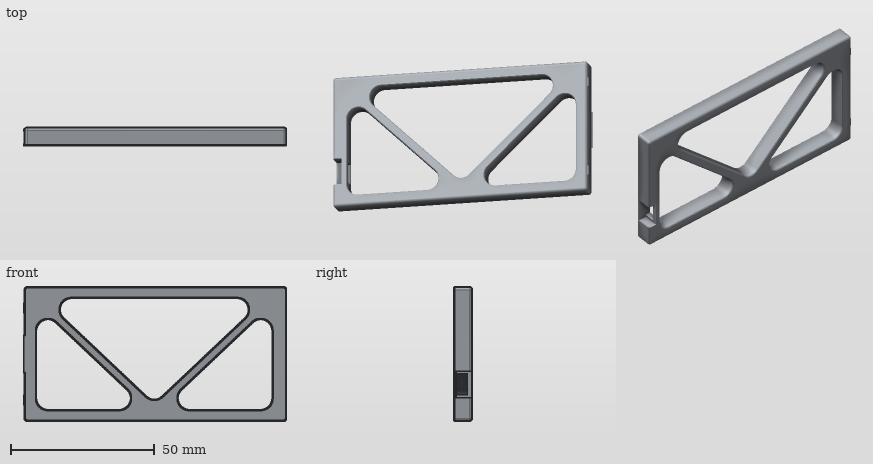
import cadquery as cq
import math

NUB_PROJECTION = 0.3
FRAME_WIDTH = 91.6 - NUB_PROJECTION
FRAME_THICKNESS = 6.4
FRAME_HEIGHT = 46.8
OUTER_RADIUS = 1.0
FRONT_CHAMFER = 0.3

LEFT_WALL = 4.2
RIGHT_WALL = 5.0
RAIL_WALL = 4.0
STRUT_WIDTH = 3.0
OPENING_RADIUS = 4.0
OPENING_CHAMFER = 0.3

NUB_LENGTH = 3.2
NUB_SPACING = 32.0
TAB_LENGTH = 13.0
TAB_THICKNESS = 0.5

WINDOW_HEIGHT = 7.3
WINDOW_CENTRE_Z = -10.6
WINDOW_FRONT_LAND = 0.8
WINDOW_DEPTH_Y = 3.9
WINDOW_LENGTH_X = 1.95
NOTCH_STEP = 1.0

LEFT = -FRAME_WIDTH / 2
RIGHT = FRAME_WIDTH / 2
FRONT = -FRAME_THICKNESS / 2
BACK = FRAME_THICKNESS / 2
OPENINGS_LEFT = LEFT + LEFT_WALL
OPENINGS_RIGHT = RIGHT - RIGHT_WALL
INNER_Z = FRAME_HEIGHT / 2 - RAIL_WALL


def box_between(x_range, y_range, z_range):
    """Box spanning the given coordinate ranges."""
    size = [high - low for low, high in (x_range, y_range, z_range)]
    corner = (x_range[0], y_range[0], z_range[0])
    return cq.Workplane("XY").box(*size, centered=False).translate(corner)


def make_body():
    """Plate with rounded corners, a rounded back rim and a chamfered front rim."""
    body = cq.Workplane("XY").box(FRAME_WIDTH, FRAME_THICKNESS, FRAME_HEIGHT)
    body = body.edges("|Y").fillet(OUTER_RADIUS)
    body = body.faces(">Y").edges().fillet(OUTER_RADIUS)
    return body.faces("<Y").edges().chamfer(FRONT_CHAMFER)


def make_opening(corners):
    """Round-cornered triangular cutter through the plate, flared at the front and back faces."""
    opening = cq.Workplane("XZ", origin=(0, BACK, 0)).polyline(corners).close().extrude(FRAME_THICKNESS)
    opening = opening.edges("|Y").fillet(OPENING_RADIUS)
    cutter = opening
    for face, inward in (("<Y", 1), (">Y", -1)):
        rim = opening.faces(face).wires().val()
        flare_wire = rim.offset2D(OPENING_CHAMFER)[0]
        inner_wire = rim.translate(cq.Vector(0, inward * OPENING_CHAMFER, 0))
        flare = cq.Solid.makeLoft([inner_wire, flare_wire], True)
        cutter = cutter.union(cq.Workplane(obj=flare))
    return cutter


def cut_openings(body):
    """Cut the central triangle and the two side triangles around the struts."""
    middle_x = (OPENINGS_LEFT + OPENINGS_RIGHT) / 2
    half_span = (OPENINGS_RIGHT - OPENINGS_LEFT) / 2
    strut_angle = math.atan2(2 * INNER_Z, half_span)
    half_run = STRUT_WIDTH / 2 / math.sin(strut_angle)
    half_rise = STRUT_WIDTH / 2 / math.cos(strut_angle)
    centre_triangle = [
        (OPENINGS_LEFT + half_run, INNER_Z),
        (OPENINGS_RIGHT - half_run, INNER_Z),
        (middle_x, -INNER_Z + half_rise),
    ]
    body = body.cut(make_opening(centre_triangle))
    for side in (-1, 1):
        wall_x = middle_x + side * half_span
        side_triangle = [
            (wall_x, -INNER_Z),
            (middle_x + side * half_run, -INNER_Z),
            (wall_x, INNER_Z - half_rise),
        ]
        body = body.cut(make_opening(side_triangle))
    return body


def add_catches(body):
    """Add two half-round nubs near the back edge and one tab along the front edge of the -X side."""
    for side in (-1, 1):
        bottom = (LEFT, BACK - OUTER_RADIUS, side * NUB_SPACING / 2 - NUB_LENGTH / 2)
        body = body.union(cq.Workplane("XY", origin=bottom).circle(NUB_PROJECTION).extrude(NUB_LENGTH))
    tab_x = (LEFT - NUB_PROJECTION, LEFT + FRONT_CHAMFER)
    tab_y = (FRONT, FRONT + TAB_THICKNESS)
    tab_z = (-TAB_LENGTH / 2, TAB_LENGTH / 2)
    return body.union(box_between(tab_x, tab_y, tab_z))


def cut_window(body):
    """Cut the window in the +X wall and the notch it opens into."""
    low_z = WINDOW_CENTRE_Z - WINDOW_HEIGHT / 2
    high_z = WINDOW_CENTRE_Z + WINDOW_HEIGHT / 2
    front_y = FRONT + WINDOW_FRONT_LAND
    notch_x = OPENINGS_RIGHT + WINDOW_LENGTH_X
    window = box_between((OPENINGS_RIGHT, notch_x), (front_y, front_y + WINDOW_DEPTH_Y), (low_z, high_z))
    notch_z = (low_z - NOTCH_STEP, high_z + NOTCH_STEP)
    notch = box_between((notch_x, RIGHT), (front_y, BACK), notch_z)
    return body.cut(window).cut(notch)


result = cut_window(add_catches(cut_openings(make_body())))